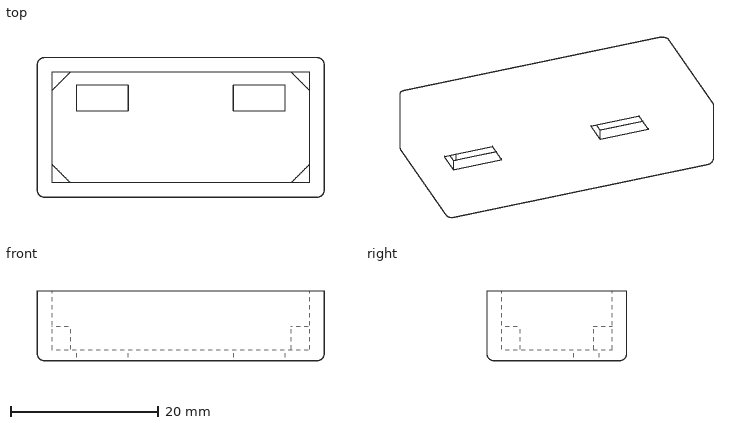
import cadquery as cq

length = 39.0
width = 19.0
height = 9.5
edge_radius = 1.0
rim_height = 3.0

wall = 2.0
floor = 1.5
cavity_length = length - 2 * wall
cavity_width = width - 2 * wall

post_leg = 2.5
post_height = 3.2

window_length = 7.0
window_width = 3.5
window_spacing = 21.3
window_y = 4.0


def make_shell():
    """Rounded tray body with a flush rim band stacked on top of it."""
    tray_height = height - rim_height
    tray = (
        cq.Workplane("XY")
        .box(length, width, tray_height, centered=(True, True, False))
        .edges("|Z or <Z")
        .fillet(edge_radius)
    )
    rim = (
        cq.Workplane("XY", origin=(0, 0, tray_height))
        .box(length, width, rim_height, centered=(True, True, False))
        .edges("|Z")
        .fillet(edge_radius)
    )
    return tray.union(rim, clean=False)


def make_cavity():
    """Open-topped pocket, less the corner posts that stay standing in it."""
    cavity = cq.Workplane("XY", origin=(0, 0, floor)).box(
        cavity_length, cavity_width, height - floor, centered=(True, True, False)
    )
    for x_side in (-1, 1):
        for y_side in (-1, 1):
            cavity = cavity.cut(make_post(x_side, y_side))
    return cavity


def make_post(x_side, y_side):
    """Right-triangle post filling one cavity corner."""
    corner_x = x_side * cavity_length / 2
    corner_y = y_side * cavity_width / 2
    return (
        cq.Workplane("XY", origin=(0, 0, floor))
        .moveTo(corner_x, corner_y)
        .lineTo(corner_x - x_side * post_leg, corner_y)
        .lineTo(corner_x, corner_y - y_side * post_leg)
        .close()
        .extrude(post_height)
    )


def make_windows():
    """Pair of rectangular openings through the floor, near the +Y wall."""
    return (
        cq.Workplane("XY")
        .pushPoints([(side * window_spacing / 2, window_y) for side in (-1, 1)])
        .rect(window_length, window_width)
        .extrude(floor)
    )


shell = make_shell()
hollow = shell.cut(make_cavity(), clean=False)
result = hollow.cut(make_windows(), clean=False)